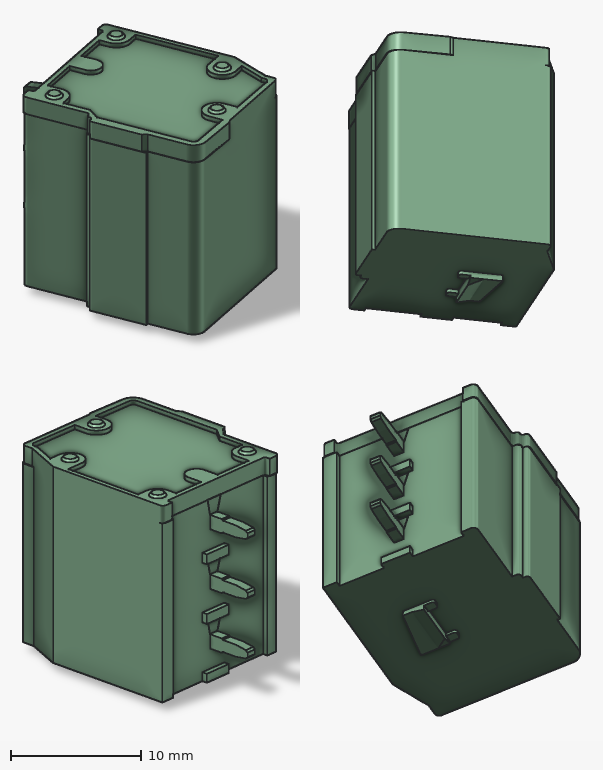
import cadquery as cq
import math


body_height = 14.99
cover_height = 1.47
cover_top = body_height + cover_height
tray_depth = 0.37
tray_floor = cover_top - tray_depth

back_y = 6.4
front_y = -8.1
front_left_y = -6.92
front_right_y = -7.85
body_left_x = -0.45
cover_left_x = -0.52
right_x = 15.42
slope_start_x = 10.84
slope_end_x = 14.08
shoulder_y = 5.0
upper_foot_y = 5.18
lower_foot_y = -5.65
ridge_left_x = 5.43
ridge_front_x = 5.93
ridge_right_x = 11.0
ridge_step_y = -7.6
foot_radius = 0.43
ridge_radius = 0.3
front_right_radius = 0.97
shoulder_radius = 0.37
cover_inset = 0.05
cover_overhang = 0.02
cover_front_right_radius = 1.1
cover_step_inset = 0.14
cover_shoulder_inset = 0.12
cover_step_radius = 0.23
cover_bevel_width = 0.39
cover_foot_gap = 0.2
bump_x = 15.53
bump_start_y = -2.81
bump_peak_y = -3.1

tray_left_x = 0.43
tray_right_top_x = 14.95
tray_right_bottom_x = 14.83
tray_back_y = 5.97
tray_front_left_y = -6.42
tray_front_right_y = -7.21
tray_slope_x = (5.18, 6.2)
tray_slope_start = (12.02, 5.4)
tray_slope_end = (14.25, 4.42)
tray_corner_radius = 0.43

boss_radius = 1.18
back_left_boss = (1.26, 5.05)
back_right_boss = (10.84, 4.45)
right_boss = (13.75, -1.8)
front_left_boss = (1.65, -5.66)
stud_height = 0.21
stud_base_radius = 0.68
stud_top_radius = 0.5
tongue_half_width = 0.93
tongue_length = 2.68
tongue_y = 0.04

pitch = 5.0
terminal_count = 3
first_pin_z = 3.05
pin_length = 3.85
pin_width = 0.85
pin_root_height = 1.2
pin_blade_height = 1.0
pin_end_height = 0.7
pin_tip_height = 0.39
pin_shoulder_x = -1.2
pin_shoulder_length = 0.1
pin_taper_x = -2.64
pin_end_chamfer = 0.17
top_pin_z = first_pin_z + (terminal_count - 1) * pitch
bar_thickness = 0.47
bar_width = 2.52
bar_height = 0.83
bar_y = 0.05
first_bar_z = -0.08
relief_depth = 0.04
relief_top_width = 1.51
relief_y = -0.05
relief_height = body_height - top_pin_z - pin_root_height / 2

latch_left_x = 4.6
latch_right_x = 8.85
latch_front_y = 0.31
latch_ramp_y = 1.35
latch_side_y = 2.15
latch_back_y = 2.87
latch_lip = 0.5
latch_depth = 0.78
latch_ramp_x = 7.97
foot_front_y = -0.56
foot_depth = 0.31
foot_width = 0.7
latch_foot_radius = 0.21

overlap = 0.2


def rounded_outline(corners, z):
    """Closed wire through (x, y, radius) corners on the plane at height z."""
    starts = []
    arcs = []
    for i, (x, y, radius) in enumerate(corners):
        x_in, y_in, _ = corners[i - 1]
        x_out, y_out, _ = corners[(i + 1) % len(corners)]
        to_in = cq.Vector(x_in - x, y_in - y).normalized()
        to_out = cq.Vector(x_out - x, y_out - y).normalized()
        corner = cq.Vector(x, y)
        half_angle = to_in.getAngle(to_out) / 2
        tangent = radius / math.tan(half_angle)
        middle = (to_in + to_out).normalized() * (radius / math.sin(half_angle) - radius)
        starts.append(corner + to_in * tangent)
        arcs.append((radius, corner + middle, corner + to_out * tangent))
    path = cq.Workplane("XY", origin=(0, 0, z)).moveTo(starts[0].x, starts[0].y)
    for i, (start, (radius, middle, end)) in enumerate(zip(starts, arcs)):
        if i > 0:
            path = path.lineTo(start.x, start.y)
        if radius > 0:
            path = path.threePointArc((middle.x, middle.y), (end.x, end.y))
    return path.close()


def block(x_range, y_range, z_range):
    """Box between the given limits."""
    (x0, x1), (y0, y1), (z0, z1) = x_range, y_range, z_range
    return cq.Workplane("XY").box(x1 - x0, y1 - y0, z1 - z0, centered=False).translate((x0, y0, z0))


def make_body():
    corners = [
        (body_left_x, back_y, 0),
        (slope_start_x, back_y, 0),
        (slope_end_x, shoulder_y, 0),
        (right_x, shoulder_y, shoulder_radius),
        (right_x, front_right_y, front_right_radius),
        (ridge_right_x, front_right_y, 0),
        (ridge_right_x, front_y, 0),
        (ridge_front_x, front_y, ridge_radius),
        (ridge_front_x, ridge_step_y, 0),
        (ridge_left_x, ridge_step_y, ridge_radius),
        (ridge_left_x, front_left_y, 0),
        (body_left_x, front_left_y, foot_radius),
        (body_left_x, lower_foot_y, 0),
        (0, lower_foot_y, 0),
        (0, upper_foot_y, 0),
        (body_left_x, upper_foot_y, 0),
    ]
    return rounded_outline(corners, 0).extrude(body_height)


def make_cover():
    slope = (shoulder_y - back_y) / (slope_end_x - slope_start_x)
    cover_shoulder_y = shoulder_y - cover_shoulder_inset
    cover_slope_end_x = slope_start_x + (cover_shoulder_y - back_y) / slope
    cover_front_left_y = front_left_y - cover_overhang
    cover_front_y = front_y + cover_inset
    cover_front_right_y = front_right_y + cover_inset
    cover_step_y = ridge_step_y + cover_step_inset
    bevel_x = ridge_right_x - cover_inset
    corners = [
        (cover_left_x, back_y, shoulder_radius),
        (slope_start_x, back_y, 0),
        (cover_slope_end_x, cover_shoulder_y, 0),
        (right_x, cover_shoulder_y, shoulder_radius),
        (right_x, bump_start_y, 0),
        (bump_x, bump_peak_y, 0),
        (right_x, cover_front_right_y, cover_front_right_radius),
        (bevel_x, cover_front_right_y, 0),
        (bevel_x - cover_bevel_width, cover_front_y, 0),
        (ridge_front_x, cover_front_y, ridge_radius),
        (ridge_front_x, cover_step_y, cover_step_radius),
        (ridge_left_x, cover_step_y, cover_step_radius),
        (ridge_left_x, cover_front_left_y, cover_step_radius),
        (cover_left_x, cover_front_left_y, foot_radius),
        (cover_left_x, lower_foot_y - cover_foot_gap, 0),
        (-cover_overhang, lower_foot_y - cover_foot_gap, cover_foot_gap),
        (-cover_overhang, upper_foot_y + cover_foot_gap, cover_foot_gap),
        (cover_left_x, upper_foot_y + cover_foot_gap, 0),
    ]
    return rounded_outline(corners, body_height).extrude(cover_height)


def make_boss(center, x_limit, y_limit):
    """Round boss that runs square to the tray wall in the directions of its limits."""
    x, y = center
    z_range = (tray_floor, cover_top)
    boss = cq.Workplane("XY", origin=(x, y, tray_floor)).circle(boss_radius).extrude(tray_depth)
    if x_limit is not None:
        arm = block(sorted((x, x_limit)), (y - boss_radius, y + boss_radius), z_range)
        boss = boss.union(arm)
    if y_limit is not None:
        arm = block((x - boss_radius, x + boss_radius), sorted((y, y_limit)), z_range)
        boss = boss.union(arm)
    return boss


def make_tray():
    """Recess in the top of the cover, with the bosses and the tongue left standing."""
    corners = [
        (tray_left_x, tray_back_y, 0),
        (back_right_boss[0], tray_back_y, 0),
        (tray_slope_start[0], tray_slope_start[1], 0),
        (tray_slope_end[0], tray_slope_end[1], 0),
        (tray_right_top_x, tray_slope_end[1], tray_corner_radius),
        (tray_right_bottom_x, tray_front_right_y, tray_corner_radius),
        (tray_slope_x[1], tray_front_right_y, 0),
        (tray_slope_x[0], tray_front_left_y, 0),
        (tray_left_x, tray_front_left_y, 0),
    ]
    tray = rounded_outline(corners, tray_floor).extrude(tray_depth)
    tray = tray.cut(make_boss(back_left_boss, tray_left_x, tray_back_y))
    tray = tray.cut(make_boss(back_right_boss, None, tray_back_y))
    tray = tray.cut(make_boss(right_boss, right_x, None))
    tray = tray.cut(make_boss(front_left_boss, tray_left_x, tray_front_left_y))
    tongue = (
        cq.Workplane("XY", origin=(0, tongue_y, tray_floor))
        .moveTo(0, -tongue_half_width)
        .lineTo(tongue_length - tongue_half_width, -tongue_half_width)
        .threePointArc((tongue_length, 0), (tongue_length - tongue_half_width, tongue_half_width))
        .lineTo(0, tongue_half_width)
        .close()
        .extrude(tray_depth)
    )
    return tray.cut(tongue)


def make_stud(center):
    """Tapered rivet head standing on a boss."""
    x, y = center
    return (
        cq.Workplane("XY", origin=(x, y, cover_top))
        .circle(stud_base_radius)
        .workplane(offset=stud_height)
        .circle(stud_top_radius)
        .loft()
    )


def make_pin(z):
    """Tapering terminal pin centred on height z."""
    upper = [
        (overlap, pin_root_height / 2),
        (pin_shoulder_x, pin_root_height / 2),
        (pin_shoulder_x - pin_shoulder_length, pin_blade_height / 2),
        (pin_taper_x, pin_blade_height / 2),
        (pin_end_chamfer - pin_length, pin_end_height / 2),
        (-pin_length, pin_tip_height / 2),
    ]
    lower = [(x, -half_height) for x, half_height in reversed(upper)]
    return (
        cq.Workplane("XZ", origin=(0, 0, z))
        .polyline(upper + lower)
        .close()
        .extrude(pin_width / 2, both=True)
    )


def make_bar(z):
    """Locating bar on the terminal face, cut off at the underside of the housing."""
    y_range = (bar_y - bar_width / 2, bar_y + bar_width / 2)
    return block((-bar_thickness, overlap), y_range, (max(z, 0), z + bar_height))


def make_relief(pin_z):
    """Shallow flared recess that narrows down to the top of a pin."""
    bottom_z = pin_z + pin_root_height / 2
    return (
        cq.Workplane("YZ")
        .polyline([
            (-pin_width / 2, bottom_z),
            (pin_width / 2, bottom_z),
            (relief_y + relief_top_width / 2, bottom_z + relief_height),
            (relief_y - relief_top_width / 2, bottom_z + relief_height),
        ])
        .close()
        .extrude(relief_depth)
    )


def make_latch():
    """Hooked latch on the underside, with two small feet in front of it."""
    profile = [
        (latch_front_y, overlap),
        (latch_front_y, -latch_depth),
        (latch_ramp_y, -latch_lip),
        (latch_back_y, -latch_lip),
        (latch_back_y, overlap),
    ]
    latch = (
        cq.Workplane("YZ", origin=(latch_left_x, 0, 0))
        .polyline(profile)
        .close()
        .extrude(latch_right_x - latch_left_x)
    )
    plan = [
        (latch_left_x, latch_front_y),
        (latch_right_x, latch_front_y),
        (latch_right_x, latch_back_y),
        (latch_left_x, latch_side_y),
    ]
    height = latch_depth + overlap
    latch = latch.intersect(
        cq.Workplane("XY", origin=(0, 0, -latch_depth)).polyline(plan).close().extrude(height)
    )
    ramp = (
        cq.Workplane("XZ", origin=(0, latch_back_y, 0))
        .polyline([
            (latch_ramp_x, -latch_depth),
            (latch_right_x, -latch_depth),
            (latch_right_x, -latch_lip),
        ])
        .close()
        .extrude(latch_back_y - latch_front_y)
    )
    latch = latch.cut(ramp)
    for foot_x in (latch_left_x, latch_right_x - foot_width):
        foot = block(
            (foot_x, foot_x + foot_width),
            (foot_front_y, latch_front_y + overlap),
            (-foot_depth, overlap),
        )
        latch = latch.union(foot.edges("|Z and <Y").fillet(latch_foot_radius))
    return latch


result = make_body().union(make_cover()).cut(make_tray())

for boss_center in (back_left_boss, back_right_boss, right_boss, front_left_boss):
    result = result.union(make_stud(boss_center))

for i in range(terminal_count):
    pin_z = first_pin_z + i * pitch
    result = result.cut(make_relief(pin_z))
    result = result.union(make_pin(pin_z))
    result = result.union(make_bar(first_bar_z + i * pitch))

result = result.union(make_latch())